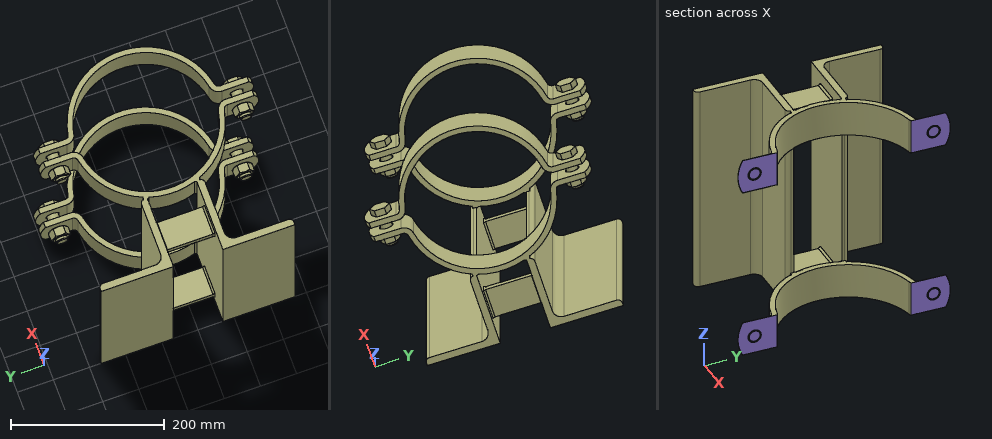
import cadquery as cq
import math

height = 300.0
half_depth = 151.0
mount_face_x = -198.0

leg = 100.0
angle_thickness = 10.0
root_radius = 12.0
toe_radius = 6.0
half_spacing = 34.0

clamp_radius = 103.0
strap = 8.0
strap_width = 50.0
half_gap = 6.0
bend_radius = 6.0
ear_tip_radius = strap_width
clamp_levels = (strap_width / 2, height - strap_width / 2)

bolt_y = 127.0
bolt_diameter = 16.0
bolt_hole_diameter = 18.0
bolt_tip_diameter = 14.8
bolt_tip_chamfer = 1.5
bolt_protrusion = 4.8
hex_across_flats = 24.0
head_height = 9.0
nut_height = 13.0
nut_face_diameter = 22.0
nut_chamfer_angle = 30.0

bar_width = 40.0
bar_thickness = 10.5
bar_start_x = mount_face_x + 30.2
bar_weld_along = 2.7
bar_weld_up = 2.7
bar_inset = 24.5
bar_levels = (bar_inset, height - bar_inset)

ring_weld = 2.7
weld_overlap = 3.0

ear_face = half_gap + strap
across_corners = hex_across_flats / math.cos(math.pi / 6)


def both_sides(shape):
    """The shape together with its mirror image across the XZ plane."""
    return shape.union(shape.mirror("XZ"))


def angle_iron():
    """Angle iron on the +Y side."""
    sharp_iron = (
        cq.Workplane("XY")
        .moveTo(mount_face_x, half_spacing)
        .lineTo(mount_face_x + leg, half_spacing)
        .line(0, angle_thickness)
        .lineTo(mount_face_x + angle_thickness, half_spacing + angle_thickness)
        .lineTo(mount_face_x + angle_thickness, half_spacing + leg)
        .line(-angle_thickness, 0)
        .close()
        .extrude(height)
    )
    root = cq.selectors.NearestToPointSelector(
        (mount_face_x + angle_thickness, half_spacing + angle_thickness, height / 2)
    )
    toes = [
        (mount_face_x + leg, half_spacing + angle_thickness, height / 2),
        (mount_face_x + angle_thickness, half_spacing + leg, height / 2),
    ]
    iron = sharp_iron.edges(root).fillet(root_radius)
    for toe in toes:
        iron = iron.edges(cq.selectors.NearestToPointSelector(toe)).fillet(toe_radius)
    return iron


def strap_quarter():
    """Quarter of a clamp in +X +Y: ring arc, bend and ear, centred on Z = 0."""
    inner_radius = clamp_radius - strap
    centre_distance = clamp_radius + bend_radius
    bend_x = ear_face + bend_radius
    bend_y = math.sqrt(centre_distance**2 - bend_x**2)
    ring_angle = math.atan2(bend_y, bend_x)

    def on_ring(radius, angle):
        return radius * math.cos(angle), radius * math.sin(angle)

    def on_bend(radius):
        angle = math.pi + ring_angle / 2
        return bend_x + radius * math.cos(angle), bend_y + radius * math.sin(angle)

    band = (
        cq.Workplane("XY")
        .moveTo(inner_radius, 0)
        .lineTo(clamp_radius, 0)
        .threePointArc(on_ring(clamp_radius, ring_angle / 2), on_ring(clamp_radius, ring_angle))
        .threePointArc(on_bend(bend_radius), (ear_face, bend_y))
        .lineTo(ear_face, half_depth)
        .lineTo(half_gap, half_depth)
        .lineTo(half_gap, bend_y)
        .threePointArc(on_bend(bend_radius + strap), on_ring(inner_radius, ring_angle))
        .threePointArc(on_ring(inner_radius, ring_angle / 2), (inner_radius, 0))
        .close()
        .extrude(strap_width / 2, both=True)
    )
    half_width = strap_width / 2
    tip_side_y = half_depth - ear_tip_radius + math.sqrt(ear_tip_radius**2 - half_width**2)
    rounded_tip = (
        cq.Workplane("YZ")
        .moveTo(0, -half_width)
        .lineTo(tip_side_y, -half_width)
        .threePointArc((half_depth, 0), (tip_side_y, half_width))
        .lineTo(0, half_width)
        .close()
        .extrude(clamp_radius)
    )
    bolt_hole = (
        cq.Workplane("YZ").center(bolt_y, 0).circle(bolt_hole_diameter / 2).extrude(ear_face)
    )
    return band.intersect(rounded_tip).cut(bolt_hole)


def hexagon(start_x, length):
    """Hexagonal prism on the bolt axis with corners pointing along Y."""
    return (
        cq.Workplane("YZ", origin=(start_x, bolt_y, 0))
        .polygon(6, across_corners)
        .extrude(length)
    )


def chamfered_nut(start_x):
    """Hexagon nut with its corners turned to a cone at both ends."""
    face_radius = nut_face_diameter / 2
    corner_radius = across_corners / 2
    cone_length = (corner_radius - face_radius) * math.tan(math.radians(nut_chamfer_angle))
    turned_blank = (
        cq.Workplane("XY", origin=(start_x, bolt_y, 0))
        .lineTo(0, face_radius)
        .lineTo(cone_length, corner_radius)
        .lineTo(nut_height - cone_length, corner_radius)
        .lineTo(nut_height, face_radius)
        .lineTo(nut_height, 0)
        .close()
        .revolve(360, (0, 0, 0), (1, 0, 0))
    )
    return hexagon(start_x, nut_height).intersect(turned_blank)


def bolt_with_nut():
    """Bolt of the +Y ears: head on the +X ear, nut on the -X ear."""
    nut_x = -ear_face - nut_height
    tip_x = nut_x - bolt_protrusion
    shank = (
        cq.Workplane("XY", origin=(0, bolt_y, 0))
        .moveTo(tip_x, 0)
        .lineTo(tip_x, bolt_tip_diameter / 2)
        .lineTo(tip_x + bolt_tip_chamfer, bolt_diameter / 2)
        .lineTo(ear_face, bolt_diameter / 2)
        .lineTo(ear_face, 0)
        .close()
        .revolve(360, (0, 0, 0), (1, 0, 0))
    )
    head = hexagon(ear_face, head_height)
    return shank.union(chamfered_nut(nut_x)).union(head)


def ring_welds():
    """Weld filling the corner between the +Y angle iron's back and the ring."""
    leg_end_x = mount_face_x + leg
    weld_start_x = leg_end_x - ring_weld / 2
    ring_y = half_spacing - ring_weld
    ring_x = -math.sqrt(clamp_radius**2 - ring_y**2)
    leg_middle_y = half_spacing + angle_thickness / 2
    return (
        cq.Workplane("XY")
        .moveTo(weld_start_x, half_spacing)
        .lineTo(ring_x, ring_y)
        .line(weld_overlap, 0)
        .lineTo(leg_end_x + weld_overlap, leg_middle_y)
        .lineTo(weld_start_x, leg_middle_y)
        .close()
        .extrude(strap_width / 2, both=True)
    )


def clamp():
    """Complete clamp with bolts and ring welds, centred on Z = 0."""
    quarter = strap_quarter()
    ring_side = quarter.union(quarter.mirror("YZ"))
    return both_sides(ring_side.union(bolt_with_nut()).union(ring_welds()))


def spacer_bar():
    """Flat bar between the angle irons, flared by welds at both ends."""
    half_thickness = bar_thickness / 2
    half_bar = (
        cq.Workplane("YZ", origin=(bar_start_x, 0, 0))
        .moveTo(0, -half_thickness)
        .lineTo(half_spacing - bar_weld_along, -half_thickness)
        .lineTo(half_spacing, -half_thickness - bar_weld_up)
        .lineTo(half_spacing, half_thickness + bar_weld_up)
        .lineTo(half_spacing - bar_weld_along, half_thickness)
        .lineTo(0, half_thickness)
        .close()
        .extrude(bar_width)
    )
    return both_sides(half_bar)


result = both_sides(angle_iron())
for level in clamp_levels:
    result = result.union(clamp().translate((0, 0, level)))
for level in bar_levels:
    result = result.union(spacer_bar().translate((0, 0, level)))